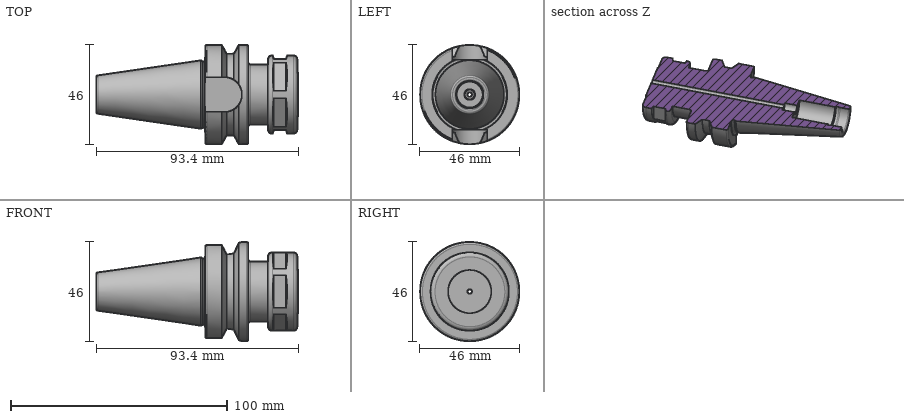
import cadquery as cq
import math


gauge_radius = 31.75 / 2
taper_length = 48.4
taper_ratio = 7 / 24 / 2
tail_radius = gauge_radius - taper_length * taper_ratio
tail_outer_round = 0.9
tail_bore_round = 0.75

relief_start = 0.85
relief_radius = 15.4
relief_fillet = 0.6

flange_start = 2.0
flange_end = 22.0
flange_radius = 23.0
flange_front_round = 0.8
flange_back_round = 1.0
boss_height = 0.1
boss_top_radius = 17.1
boss_base_radius = 17.4

gripper_centre = 13.6
gripper_floor_width = 3.35
gripper_floor_radius = 19.0
gripper_flank_angle = 30.0
gripper_floor_half = gripper_floor_width / 2
gripper_mouth_half = gripper_floor_half + (flange_radius - gripper_floor_radius) * math.tan(
    math.radians(gripper_flank_angle)
)

slot_width = 16.1
slot_floor_height = 16.2
slot_end = 19.0

neck_radius = 14.0
neck_fillet = 0.8

nut_start = 31.0
nut_end = 44.7
nut_radius = 18.15
nut_round = 2.0
collet_face = 45.0
collet_radius = 10.0

flat_count = 6
flat_across = 33.0
flat_start = 33.8
flat_end = 39.35
flat_wall_angle = 20.0

bore_radius = 12.5 / 2
bore_depth = 24.0
bore_groove_radius = 12.9 / 2
bore_groove_start = 5.4
bore_groove_length = 1.2
bore_groove_ramp = 0.65
thread_radius = 12.0 / 2
passage_radius = 5.0 / 2
passage_chamfer = 0.25
passage_depth = 30.0
coolant_radius = 2.0 / 2


def fillet_arc(sketch, centre, radius, angle, end):
    """Continue the outline with an arc through the point at `angle` degrees on its circle."""
    a = math.radians(angle)
    middle = (centre[0] + radius * math.cos(a), centre[1] + radius * math.sin(a))
    return sketch.threePointArc(middle, end)


def revolve_about_x(outline):
    return outline.close().revolve(360, (0, 0, 0), (1, 0, 0))


def make_shank_and_flange():
    boss_face = flange_start - boss_height
    outline = (
        cq.Workplane("XY")
        .moveTo(-taper_length, 0)
        .lineTo(-taper_length, tail_radius)
        .lineTo(0, gauge_radius)
        .lineTo(relief_start, relief_radius)
        .lineTo(boss_face - relief_fillet, relief_radius)
    )
    outline = fillet_arc(
        outline,
        (boss_face - relief_fillet, relief_radius + relief_fillet),
        relief_fillet,
        -45,
        (boss_face, relief_radius + relief_fillet),
    )
    outline = (
        outline.lineTo(boss_face, boss_top_radius)
        .lineTo(flange_start, boss_base_radius)
        .lineTo(flange_start, flange_radius - flange_front_round)
    )
    outline = fillet_arc(
        outline,
        (flange_start + flange_front_round, flange_radius - flange_front_round),
        flange_front_round,
        135,
        (flange_start + flange_front_round, flange_radius),
    )
    outline = (
        outline.lineTo(gripper_centre - gripper_mouth_half, flange_radius)
        .lineTo(gripper_centre - gripper_floor_half, gripper_floor_radius)
        .lineTo(gripper_centre + gripper_floor_half, gripper_floor_radius)
        .lineTo(gripper_centre + gripper_mouth_half, flange_radius)
        .lineTo(flange_end - flange_back_round, flange_radius)
    )
    outline = fillet_arc(
        outline,
        (flange_end - flange_back_round, flange_radius - flange_back_round),
        flange_back_round,
        45,
        (flange_end, flange_radius - flange_back_round),
    )
    outline = outline.lineTo(flange_end, neck_radius + neck_fillet)
    outline = fillet_arc(
        outline,
        (flange_end + neck_fillet, neck_radius + neck_fillet),
        neck_fillet,
        -135,
        (flange_end + neck_fillet, neck_radius),
    )
    outline = outline.lineTo(nut_start, neck_radius).lineTo(nut_start, 0)
    shank = revolve_about_x(outline)
    return shank.faces("<X").edges().fillet(tail_outer_round)


def cut_drive_slots(body):
    arc_centre = slot_end - slot_width / 2
    slot_height = flange_radius - slot_floor_height
    for side in (1, -1):
        slot = (
            cq.Workplane("XY", origin=(0, 0, side * slot_floor_height))
            .moveTo(0, -slot_width / 2)
            .lineTo(arc_centre, -slot_width / 2)
            .threePointArc((slot_end, 0), (arc_centre, slot_width / 2))
            .lineTo(0, slot_width / 2)
            .close()
            .extrude(side * slot_height)
        )
        body = body.cut(slot)
    return body


def make_nut():
    nut = (
        cq.Workplane("YZ", origin=(nut_start, 0, 0))
        .circle(nut_radius)
        .extrude(nut_end - nut_start)
        .edges()
        .fillet(nut_round)
    )
    collet = (
        cq.Workplane("YZ", origin=(nut_start, 0, 0))
        .circle(collet_radius)
        .extrude(collet_face - nut_start)
    )
    return cut_wrench_flats(nut).union(collet)


def cut_wrench_flats(nut):
    cut_depth = nut_radius - flat_across / 2
    wall_spread = cut_depth * math.tan(math.radians(flat_wall_angle))
    flat_pocket = (
        cq.Workplane("XY")
        .moveTo(flat_start, flat_across / 2)
        .lineTo(flat_end, flat_across / 2)
        .lineTo(flat_end + wall_spread, nut_radius)
        .lineTo(flat_start - wall_spread, nut_radius)
        .close()
        .extrude(nut_radius / 2, both=True)
    )
    for i in range(flat_count):
        nut = nut.cut(flat_pocket.rotate((0, 0, 0), (1, 0, 0), i * 360 / flat_count))
    return nut


def make_bore():
    tail = -taper_length
    groove_start = tail + bore_groove_start
    groove_end = groove_start + bore_groove_length
    outline = cq.Workplane("XY").moveTo(tail, 0).lineTo(tail, bore_radius + tail_bore_round)
    outline = fillet_arc(
        outline,
        (tail + tail_bore_round, bore_radius + tail_bore_round),
        tail_bore_round,
        -135,
        (tail + tail_bore_round, bore_radius),
    )
    outline = (
        outline.lineTo(groove_start - bore_groove_ramp, bore_radius)
        .lineTo(groove_start, bore_groove_radius)
        .lineTo(groove_end, bore_groove_radius)
        .lineTo(groove_end + (bore_groove_radius - thread_radius), thread_radius)
        .lineTo(tail + bore_depth, thread_radius)
        .lineTo(tail + bore_depth, passage_radius)
        .lineTo(tail + bore_depth + passage_chamfer, passage_radius - passage_chamfer)
        .lineTo(tail + passage_depth, passage_radius - passage_chamfer)
        .lineTo(tail + passage_depth, coolant_radius)
        .lineTo(collet_face, coolant_radius)
        .lineTo(collet_face, 0)
    )
    return revolve_about_x(outline)


result = cut_drive_slots(make_shank_and_flange()).union(make_nut()).cut(make_bore())